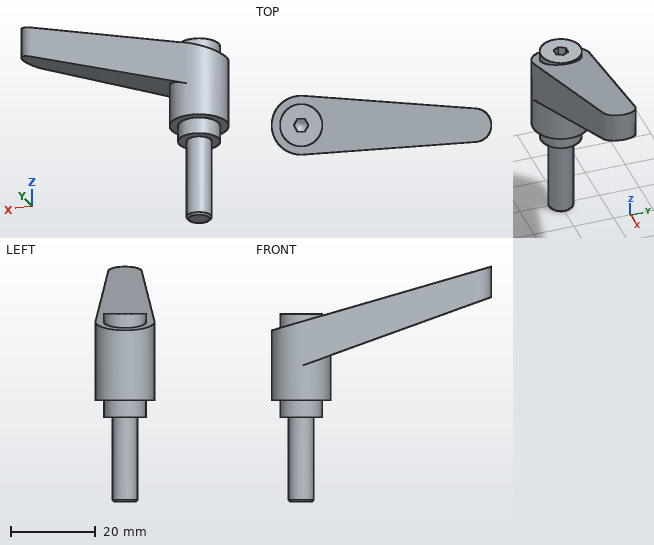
import cadquery as cq
import math

stud_diameter = 6.0
stud_length = 20.0
stud_chamfer = 0.5

collar_diameter = 10.0
collar_height = 4.0

hub_radius = 7.0
tip_radius = 4.0
overall_length = 52.0
overall_height = 55.69
top_slope = math.radians(16.2)
underside_slope = math.radians(19.9)
tip_thickness = 7.25

head_diameter = 10.0
head_top = 44.5
socket_across_flats = 3.0
socket_depth = 3.0
socket_cone_half_angle = math.radians(60)

hub_bottom = stud_length + collar_height
tip_end = overall_length - hub_radius
tip_center = tip_end - tip_radius


def make_stud():
    stud = cq.Workplane("XY").circle(stud_diameter / 2).extrude(stud_length)
    return stud.faces("<Z").chamfer(stud_chamfer)


def make_collar():
    collar = cq.Workplane("XY").workplane(offset=stud_length)
    return collar.circle(collar_diameter / 2).extrude(collar_height)


def make_lever_plan():
    """Two end arcs joined by their common tangents, as a tall prism."""
    tangent_sin = (hub_radius - tip_radius) / tip_center
    tangent_cos = math.sqrt(1 - tangent_sin**2)
    hub_x = hub_radius * tangent_sin
    hub_y = hub_radius * tangent_cos
    tip_x = tip_center + tip_radius * tangent_sin
    tip_y = tip_radius * tangent_cos
    return (
        cq.Workplane("XY")
        .moveTo(hub_x, -hub_y)
        .lineTo(tip_x, -tip_y)
        .threePointArc((tip_end, 0), (tip_x, tip_y))
        .lineTo(hub_x, hub_y)
        .threePointArc((-hub_radius, 0), (hub_x, -hub_y))
        .close()
        .extrude(overall_height)
    )


def make_side_prism(outline):
    """Extrude an XZ outline across the full width of the hub."""
    return cq.Workplane("XZ").polyline(outline).close().extrude(hub_radius, both=True)


def make_lever():
    """Sloping arm and upright hub, both cut off by the same sloping top."""
    top_left = overall_height - overall_length * math.tan(top_slope)
    tip_bottom = overall_height - tip_thickness
    underside_left = tip_bottom - overall_length * math.tan(underside_slope)
    arm_band = make_side_prism([
        (-hub_radius, underside_left),
        (tip_end, tip_bottom),
        (tip_end, overall_height),
        (-hub_radius, top_left),
    ])
    below_top = make_side_prism([
        (-hub_radius, hub_bottom),
        (tip_end, hub_bottom),
        (tip_end, overall_height),
        (-hub_radius, top_left),
    ])
    hub = cq.Workplane("XY").workplane(offset=hub_bottom)
    hub = hub.circle(hub_radius).extrude(overall_height - hub_bottom)
    arm = make_lever_plan().intersect(arm_band)
    return arm.union(hub.intersect(below_top))


def make_screw_head():
    head = cq.Workplane("XY").workplane(offset=hub_bottom)
    return head.circle(head_diameter / 2).extrude(head_top - hub_bottom)


def make_socket():
    """Hexagon socket, corners along X, ending in a conical drill point."""
    corner_radius = socket_across_flats / math.sqrt(3)
    cone_depth = corner_radius / math.tan(socket_cone_half_angle)
    socket_bottom = head_top - socket_depth
    hexagon = cq.Workplane("XY").workplane(offset=socket_bottom - cone_depth)
    hexagon = hexagon.polygon(6, 2 * corner_radius).extrude(socket_depth + cone_depth)
    drill = (
        cq.Workplane("XZ")
        .moveTo(0, socket_bottom - cone_depth)
        .lineTo(corner_radius, socket_bottom)
        .lineTo(corner_radius, head_top)
        .lineTo(0, head_top)
        .close()
        .revolve(360, (0, 0, 0), (0, 1, 0))
    )
    return hexagon.intersect(drill)


result = (
    make_stud()
    .union(make_collar())
    .union(make_lever())
    .union(make_screw_head())
    .cut(make_socket())
)